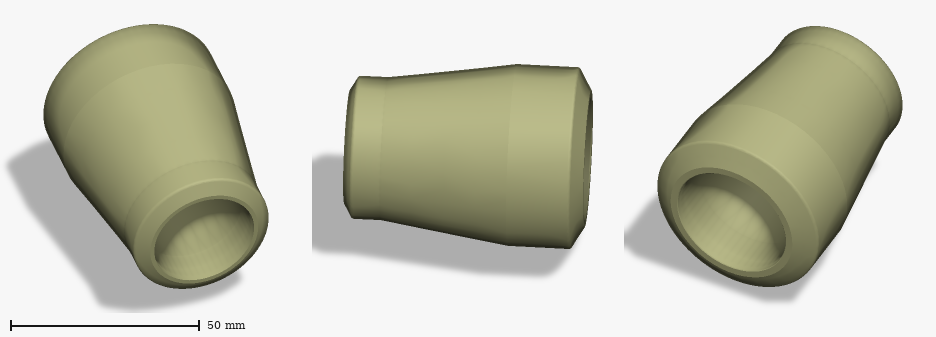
import cadquery as cq
import math

length = 64.0
large_diameter = 48.3
small_diameter = 38.0
large_bore = 32.3
small_bore = 28.0
bore_taper_start = 12.35

taper_start = 20.0
taper_end = 54.0

large_face_radius = 18.25
small_face_radius = 15.2
bevel_angle = 30.0
bevel_edge_radius = 1.0
mouth_chamfer = 0.2

edge_search_gap = 0.05


def bevel_depth(outer_radius, face_radius):
    return (outer_radius - face_radius) * math.tan(math.radians(bevel_angle))


def revolve_about_x(profile):
    return profile.close().revolve(360, (0, 0, 0), (1, 0, 0))


large_radius = large_diameter / 2
small_radius = small_diameter / 2
large_bevel_end = bevel_depth(large_radius, large_face_radius)
small_bevel_start = length - bevel_depth(small_radius, small_face_radius)

body = revolve_about_x(
    cq.Workplane("XZ")
    .lineTo(0, large_face_radius)
    .lineTo(large_bevel_end, large_radius)
    .lineTo(taper_start, large_radius)
    .lineTo(taper_end, small_radius)
    .lineTo(small_bevel_start, small_radius)
    .lineTo(length, small_face_radius)
    .lineTo(length, 0)
)

for edge_x in (large_bevel_end, small_bevel_start):
    outer_edge = cq.selectors.BoxSelector(
        (edge_x - edge_search_gap, -large_diameter, -large_diameter),
        (edge_x + edge_search_gap, large_diameter, large_diameter),
        boundingbox=True,
    )
    body = body.edges("%CIRCLE").edges(outer_edge).fillet(bevel_edge_radius)

bore = revolve_about_x(
    cq.Workplane("XZ")
    .lineTo(0, large_bore / 2 + mouth_chamfer)
    .lineTo(mouth_chamfer, large_bore / 2)
    .lineTo(bore_taper_start, large_bore / 2)
    .lineTo(taper_end, small_bore / 2)
    .lineTo(length, small_bore / 2)
    .lineTo(length, 0)
)

result = body.cut(bore)